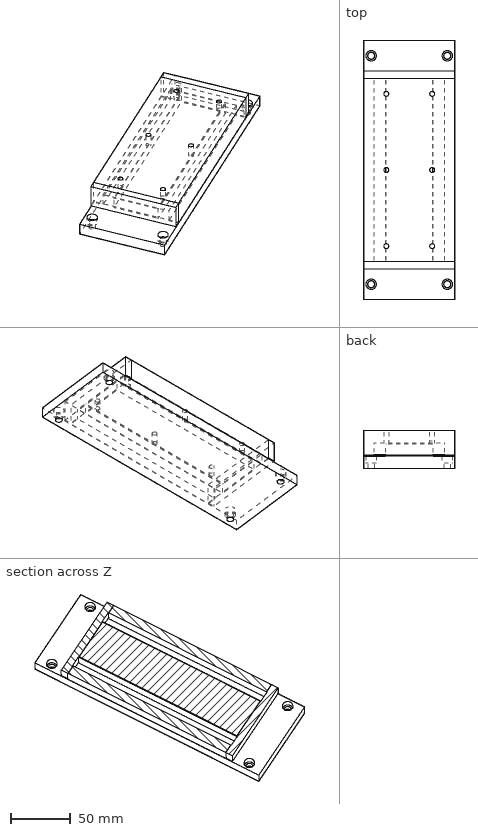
import cadquery as cq

slide_width = 76.2
total_height = 31.7

base_length = 216.0
plate_thickness = 10.4
ridge_width = 39.7
ridge_edge_chamfer = 0.6

carriage_length = 152.6
carriage_clearance = 0.5
channel_width = 59.0
channel_roof = 21.2
ridge_clearance = 0.6

end_plate_thickness = 6.3
end_plate_clearance = 1.0

mount_spacing_x = 63.5
mount_spacing_y = 190.5
mount_hole_diameter = 5.6
counterbore_diameter = 8.6
counterbore_depth = 5.6

top_hole_diameter = 4.0
top_hole_spacing_x = 38.2
top_hole_spacing_y = 63.5
blind_hole_depth = 8.6

carriage_bottom = plate_thickness + carriage_clearance
end_plate_bottom = plate_thickness + end_plate_clearance
ridge_top = channel_roof - ridge_clearance


def block(width, length, bottom, top):
    """Box centred on X = Y = 0 that spans the given heights."""
    return (
        cq.Workplane("XY")
        .workplane(offset=bottom)
        .rect(width, length)
        .extrude(top - bottom)
    )


def make_base():
    ridge = block(ridge_width, carriage_length, plate_thickness, ridge_top)
    ridge = ridge.faces(">Z").edges("|Y").chamfer(ridge_edge_chamfer)
    plate = block(slide_width, base_length, 0, plate_thickness)
    plate = (
        plate.faces(">Z")
        .workplane()
        .rect(mount_spacing_x, mount_spacing_y, forConstruction=True)
        .vertices()
        .cboreHole(mount_hole_diameter, counterbore_diameter, counterbore_depth)
    )
    return plate.union(ridge)


def make_carriage():
    body = block(slide_width, carriage_length, carriage_bottom, total_height)
    channel = block(channel_width, carriage_length, carriage_bottom, channel_roof)
    body = body.cut(channel)

    body = (
        body.faces(">Z")
        .workplane()
        .rect(top_hole_spacing_x, 2 * top_hole_spacing_y, forConstruction=True)
        .vertices()
        .hole(top_hole_diameter, blind_hole_depth)
    )

    return (
        body.faces(">Z")
        .workplane()
        .rarray(top_hole_spacing_x, 2.2, 2, 1)
        .hole(top_hole_diameter)
    )


def make_end_plate(side):
    """End plate at the +Y end (side = 1) or the -Y end (side = -1)."""
    plate = block(slide_width, end_plate_thickness, end_plate_bottom, total_height)
    center_y = side * (carriage_length + end_plate_thickness) / 2
    return plate.translate((0, center_y, 0))


base = make_base()
carriage = make_carriage()
end_plates = [make_end_plate(side) for side in (-1, 1)]

result = cq.Compound.makeCompound(
    [base.val(), carriage.val(), *[plate.val() for plate in end_plates]]
)